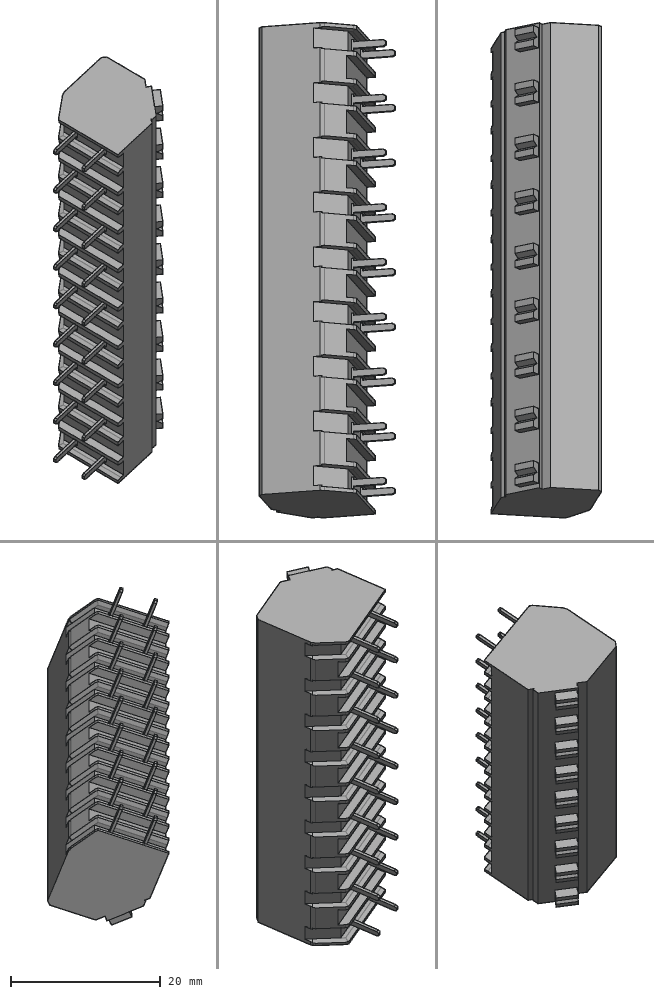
import cadquery as cq
import math

width = 12.7
height = 65.15
body_depth = 12.9
corner_chamfer = 0.5
slant_angle = math.radians(58.5)

notch_x = 7.05
notch_depth = 1.0
face_start = (8.5, 12.5)
face_end_x = 12.3

step_y = 7.8
step_x = 12.1
side_top_y = 7.3

row_count = 9
row_pitch = 7.6
bottom_row_z = (height - (row_count - 1) * row_pitch) / 2

recess_depth = 1.2
rib_half_span = 2.2
pocket_half_height = 1.4
rim_half_height = 1.55
pocket_top_y = 5.3
bevel = (0.2, 3.8)
bevel_top_y = 4.35
rib_tip = 0.3
clearance = 1.3

pin_length = 3.5
pin_x = 4.7
pin_pitch = 4.9
pins_per_row = 2
pin_thickness = 0.4
pin_height = 0.9
pin_tip_height = 0.5
pin_tip_length = 0.3
shoulder_height = 1.55
shoulder_length = 0.25

button_start = 0.16
button_length = 3.0
button_rise = 1.2
button_height = 2.85
groove_width = 1.05
groove_depth = 0.8


def slant_x(y):
    """X of the slanted front-left face at the given Y."""
    return bevel[0] + (bevel[1] - y) / math.tan(slant_angle)


def slant_y(x):
    """Y of the slanted front-left face at the given X."""
    return bevel[1] + (bevel[0] - x) * math.tan(slant_angle)


def prism(points, z_low, z_high):
    base = cq.Workplane("XY").workplane(offset=z_low)
    return base.polyline(points).close().extrude(z_high - z_low)


def body():
    face_drop = face_end_x - face_start[0]
    outline = [
        (slant_x(rib_tip) + rib_tip, 0),
        (width, 0),
        (width, side_top_y),
        (step_x, step_y),
        (face_end_x, step_y),
        (face_end_x, face_start[1] - face_drop),
        face_start,
        (notch_x + notch_depth, body_depth - notch_depth),
        (notch_x, body_depth),
        (corner_chamfer, body_depth),
        (0, body_depth - corner_chamfer),
        (0, bevel_top_y),
        bevel,
        (slant_x(rib_tip), rib_tip),
    ]
    return prism(outline, 0, height)


def recess(z_low, z_high):
    """Cutter that sets the front back between the ribs of two rows."""
    points = [(0, 0), (width, 0), (width, recess_depth), (0, recess_depth)]
    return prism(points, z_low, z_high)


def pocket(z):
    """Cutter that sets the front and the slanted face back around one row."""
    floor_x = (pocket_top_y - recess_depth) / math.tan(slant_angle)
    points = [(0, 0), (width, 0), (width, recess_depth), (floor_x, recess_depth), (0, pocket_top_y)]
    return prism(points, z - pocket_half_height, z + pocket_half_height)


def flare(origin, inward, length):
    """Cutter that flares a pocket mouth, running along a face from origin.

    The unit vector inward points from the face into the body.
    """
    flare_depth = (pocket_top_y - slant_y(0)) * math.cos(slant_angle)
    section = [
        (-clearance, -rim_half_height),
        (0, -rim_half_height),
        (flare_depth, -pocket_half_height),
        (flare_depth, pocket_half_height),
        (0, rim_half_height),
        (-clearance, rim_half_height),
    ]
    along = (inward[1], -inward[0], 0)
    plane = cq.Plane(origin=origin, xDir=inward, normal=along)
    return cq.Workplane(plane).polyline(section).close().extrude(length)


def pin(x, z):
    """Flat pin with a wide shoulder at its root and a tapered tip."""
    half = pin_height / 2
    tip_half = pin_tip_height / 2
    shoulder_half = shoulder_height / 2
    taper_y = pin_tip_length - pin_length
    shoulder_y = recess_depth - shoulder_length
    side = [
        (recess_depth, -shoulder_half),
        (shoulder_y, -shoulder_half),
        (shoulder_y, -half),
        (taper_y, -half),
        (-pin_length, -tip_half),
        (-pin_length, tip_half),
        (taper_y, half),
        (shoulder_y, half),
        (shoulder_y, shoulder_half),
        (recess_depth, shoulder_half),
    ]
    blade = cq.Workplane("YZ").polyline(side).close().extrude(pin_thickness / 2, both=True)
    return blade.translate((x, 0, z))


def button(z):
    """Block on the 45 degree face with a V groove along its length."""
    half = button_height / 2
    groove_half = groove_width / 2
    section = [
        (0, -half),
        (button_rise, -half),
        (button_rise, -groove_half),
        (button_rise - groove_depth, 0),
        (button_rise, groove_half),
        (button_rise, half),
        (0, half),
    ]
    along = button_start / math.sqrt(2)
    origin = (face_start[0] + along, face_start[1] - along, z)
    plane = cq.Plane(origin=origin, xDir=(1, 1, 0), normal=(1, -1, 0))
    return cq.Workplane(plane).polyline(section).close().extrude(button_length)


slant_inward = (math.sin(slant_angle), math.cos(slant_angle), 0)
slant_length = slant_y(0) / math.sin(slant_angle)
rows = [bottom_row_z + i * row_pitch for i in range(row_count)]

result = body()
for z in rows[:-1]:
    result = result.cut(recess(z + rib_half_span, z + row_pitch - rib_half_span))
for z in rows:
    result = result.cut(pocket(z))
    result = result.cut(flare((0, 0, z), (0, 1, 0), width))
    result = result.cut(flare((0, slant_y(0), z), slant_inward, slant_length))
for z in rows:
    result = result.union(button(z))
    for i in range(pins_per_row):
        result = result.union(pin(pin_x + i * pin_pitch, z))